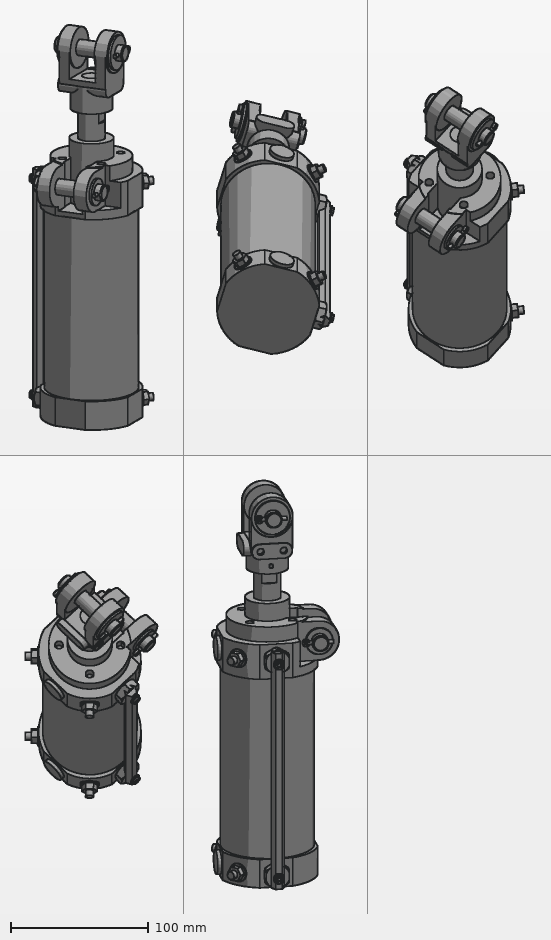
import cadquery as cq
import math

LOWER_COVER_TOP = 21.8
UPPER_COVER_BOTTOM = 160.2
UPPER_COVER_TOP = 186.7
RING_TOP = 198.2
HUB_TOP = 211.7
ROD_FLAT_BOTTOM = 225.0
KNUCKLE_BOTTOM = 234.0
OVERALL_HEIGHT = 294.5
LOWER_FITTING_Z = 10.0
UPPER_FITTING_Z = 174.5
FITTING_LEVELS = (LOWER_FITTING_Z, UPPER_FITTING_Z)

TUBE_DIAMETER = 69.0
COVER_DIAMETER = 74.8
COVER_ACROSS_FLATS = 70.7
COVER_FLAT = COVER_ACROSS_FLATS / 2
RING_DIAMETER = 60.0
HUB_DIAMETER = 32.7
TOP_HOLE_DIAMETER = 6.0
TOP_HOLE_OFFSET = 16.0
TOP_HOLE_DEPTH = 8.8
PORT_DIAMETER = 18.0
PORT_LENGTH = 3.0

VALVE_ANGLES = (45, 135)
VALVE_SEAT_DIAMETER = 13.8
VALVE_SEAT_RADIUS = 38.0
VALVE_NUT_ACROSS_CORNERS = 11.5
VALVE_NUT_RADIUS = 42.7
VALVE_STEM_DIAMETER = 6.0
VALVE_STEM_RADIUS = 47.0

FORK_INNER = 9.7
FORK_OUTER = 20.0
FORK_THICKNESS = FORK_OUTER - FORK_INNER

CLEVIS_PIN_Y = -34.8
CLEVIS_PIN_Z = 182.3
CLEVIS_ARM_RADIUS = 15.0
CLEVIS_ARM_BOTTOM = CLEVIS_PIN_Z - CLEVIS_ARM_RADIUS
CLEVIS_FACE_Y = -18.3
CLEVIS_SLOT_FLOOR = 164.0
CLEVIS_SLOT_WIDENING = 10.5
CLEVIS_SLOT_WIDENING_Y = -24.5

ROD_DIAMETER = 20.0
ROD_ACROSS_FLATS = 16.8
ROD_END_DIAMETER = 13.8

KNUCKLE_RADIUS = 15.3
KNUCKLE_PIN_Z = OVERALL_HEIGHT - KNUCKLE_RADIUS
KNUCKLE_BASE_DIAMETER = 31.0
KNUCKLE_ARM_INNER = 10.5
KNUCKLE_ARM_OUTER = 18.8
KNUCKLE_FLOOR = 259.0
KNUCKLE_BODY_BOTTOM = 254.5
BAR_HEIGHT = 11.5
BAR_Z = 253.0
CROSS_BAR_LENGTH = 30.0
CROSS_BAR_LEFT = -20.0
REAR_BAR_LENGTH = 28.5
REAR_BAR_BACK = 20.0
BAR_HOLE_DIAMETER = 5.0
BAR_HOLE_OFFSET = 8.5
BAR_HOLE_DEPTH = 3.0

PIN_DIAMETER = 12.0
PIN_LENGTH = 55.5
PIN_CHAMFER = 1.0
WASHER_OUTER = 21.8
KNUCKLE_WASHER_DIAMETER = 26.0
CLEVIS_WASHER_DIAMETER = 20.0
COTTER_X = 24.0
COTTER_DIAMETER = 3.0
COTTER_EYE_Y = 10.3
COTTER_EYE_DIAMETER = 5.3
COTTER_EYE_HOLE = 2.3
COTTER_EYE_THICKNESS = 2.5
COTTER_TAIL_Y = -10.0

ROLL_PIN_DIAMETER = 3.0
ROLL_PIN_Z = 240.3
ROLL_PIN_LEFT = -16.5

RAIL_ACROSS_CORNERS = 9.7
RAIL_X = -42.0
RAIL_OVERHANG = 8.2
RAIL_NUT_ACROSS_CORNERS = 20.0
RAIL_NUT_CHAMFER_DIAMETER = 18.0
RAIL_COLLAR_DIAMETER = 7.7
RAIL_COLLAR_THICKNESS = 1.2
RAIL_SCREW_DIAMETER = 6.0
RAIL_SCREW_TIP_X = -49.2
RAIL_SCREW_HOLE = 3.0
RAIL_SCREW_HOLE_DEPTH = 1.5


def disc(diameter, bottom, top):
    """Upright cylinder on the Z axis."""
    return cq.Workplane("XY", origin=(0, 0, bottom)).circle(diameter / 2).extrude(top - bottom)


def cross_cylinder(diameter, left, right, y, z):
    """Cylinder along X between two X positions."""
    return cq.Workplane("YZ", origin=(left, y, z)).circle(diameter / 2).extrude(right - left)


def block(left, right, front, back, bottom, top):
    """Box given by its six faces."""
    size = (right - left, back - front, top - bottom)
    return cq.Workplane("XY").box(*size, centered=False).translate((left, front, bottom))


def cover(bottom, top):
    """End cover: a disc with four flats."""
    flats = block(-COVER_FLAT, COVER_FLAT, -COVER_FLAT, COVER_FLAT, bottom, top)
    return disc(COVER_DIAMETER, bottom, top).intersect(flats)


def needle_valve(angle, z):
    """Seat, hexagon nut and stem, along a radius at the given angle."""
    direction = (math.cos(math.radians(angle)), math.sin(math.radians(angle)), 0)
    plane = cq.Plane(origin=(0, 0, z), xDir=(0, 0, 1), normal=direction)
    base = RING_DIAMETER / 2
    seat = cq.Workplane(plane).workplane(offset=base).circle(VALVE_SEAT_DIAMETER / 2)
    seat = seat.extrude(VALVE_SEAT_RADIUS - base)
    nut = cq.Workplane(plane).workplane(offset=base).transformed(rotate=(0, 0, 90))
    nut = nut.polygon(6, VALVE_NUT_ACROSS_CORNERS).extrude(VALVE_NUT_RADIUS - base)
    stem = cq.Workplane(plane).workplane(offset=base).circle(VALVE_STEM_DIAMETER / 2)
    stem = stem.extrude(VALVE_STEM_RADIUS - base)
    return seat.union(nut).union(stem)


def clevis_arm(inner_x):
    """One rounded ear of the housing fork, from its inner face towards +X."""
    ear = cross_cylinder(
        2 * CLEVIS_ARM_RADIUS, inner_x, inner_x + FORK_THICKNESS, CLEVIS_PIN_Y, CLEVIS_PIN_Z)
    root = block(
        inner_x, inner_x + FORK_THICKNESS, CLEVIS_PIN_Y, CLEVIS_FACE_Y,
        CLEVIS_ARM_BOTTOM, CLEVIS_PIN_Z + CLEVIS_ARM_RADIUS)
    return ear.union(root)


def make_housing():
    body = disc(TUBE_DIAMETER, 0, UPPER_COVER_TOP)
    body = body.union(cover(0, LOWER_COVER_TOP))
    body = body.union(cover(UPPER_COVER_BOTTOM, UPPER_COVER_TOP))
    body = body.union(disc(RING_DIAMETER, UPPER_COVER_TOP, RING_TOP))

    holes = (
        cq.Workplane("XY", origin=(0, 0, RING_TOP - TOP_HOLE_DEPTH))
        .rect(2 * TOP_HOLE_OFFSET, 2 * TOP_HOLE_OFFSET, forConstruction=True).vertices()
        .circle(TOP_HOLE_DIAMETER / 2).extrude(TOP_HOLE_DEPTH)
    )
    body = body.cut(holes)

    reach = COVER_DIAMETER / 2
    for left, right in ((-reach, -FORK_OUTER), (FORK_OUTER, reach)):
        body = body.cut(block(left, right, -reach, CLEVIS_FACE_Y, CLEVIS_ARM_BOTTOM, RING_TOP))
    for inner_x in (-FORK_OUTER, FORK_INNER):
        body = body.union(clevis_arm(inner_x))
    body = body.cut(block(-FORK_INNER, FORK_INNER, -reach, 0, CLEVIS_SLOT_FLOOR, RING_TOP))
    body = body.cut(block(
        -CLEVIS_SLOT_WIDENING, CLEVIS_SLOT_WIDENING, CLEVIS_SLOT_WIDENING_Y, 0,
        CLEVIS_SLOT_FLOOR, RING_TOP))
    body = body.union(disc(HUB_DIAMETER, UPPER_COVER_BOTTOM, HUB_TOP))

    for z in FITTING_LEVELS:
        port = cq.Workplane("XZ", origin=(0, 0, z)).circle(PORT_DIAMETER / 2)
        body = body.union(port.extrude(-(COVER_FLAT + PORT_LENGTH)))
        for angle in VALVE_ANGLES:
            body = body.union(needle_valve(angle, z))

    body = body.cut(disc(ROD_DIAMETER, UPPER_COVER_BOTTOM, HUB_TOP))
    return body.cut(
        cross_cylinder(PIN_DIAMETER, -FORK_OUTER, FORK_OUTER, CLEVIS_PIN_Y, CLEVIS_PIN_Z))


def make_rod():
    rod = disc(ROD_DIAMETER, UPPER_COVER_BOTTOM, KNUCKLE_BOTTOM)
    flat = ROD_ACROSS_FLATS / 2
    edge = ROD_DIAMETER / 2
    for left, right in ((-edge, -flat), (flat, edge)):
        rod = rod.cut(block(left, right, -edge, edge, ROD_FLAT_BOTTOM, KNUCKLE_BOTTOM))
    return rod.union(disc(ROD_END_DIAMETER, KNUCKLE_BOTTOM, KNUCKLE_FLOOR))


def make_knuckle():
    fork = block(
        -KNUCKLE_ARM_OUTER, KNUCKLE_ARM_OUTER, -KNUCKLE_RADIUS, KNUCKLE_RADIUS,
        KNUCKLE_BODY_BOTTOM, KNUCKLE_PIN_Z)
    gap = block(
        -KNUCKLE_ARM_INNER, KNUCKLE_ARM_INNER, -KNUCKLE_RADIUS, KNUCKLE_RADIUS,
        KNUCKLE_FLOOR, KNUCKLE_PIN_Z)
    fork = fork.cut(gap)
    for inner_x in (-FORK_OUTER, FORK_INNER):
        fork = fork.union(cross_cylinder(
            2 * KNUCKLE_RADIUS, inner_x, inner_x + FORK_THICKNESS, 0, KNUCKLE_PIN_Z))

    cross_bar = cq.Workplane("YZ", origin=(CROSS_BAR_LEFT, 0, BAR_Z))
    cross_bar = cross_bar.slot2D(CROSS_BAR_LENGTH, BAR_HEIGHT)
    cross_bar = cross_bar.extrude(KNUCKLE_ARM_OUTER - CROSS_BAR_LEFT)
    rear_bar = cq.Workplane("XZ", origin=(0, 0, BAR_Z)).slot2D(REAR_BAR_LENGTH, BAR_HEIGHT)
    rear_bar = rear_bar.extrude(-REAR_BAR_BACK)
    base = disc(KNUCKLE_BASE_DIAMETER, KNUCKLE_BOTTOM, KNUCKLE_BODY_BOTTOM)
    knuckle = fork.union(base).union(cross_bar).union(rear_bar)

    knuckle = knuckle.cut(disc(ROD_END_DIAMETER, KNUCKLE_BOTTOM, KNUCKLE_FLOOR))
    knuckle = knuckle.cut(cross_cylinder(PIN_DIAMETER, -FORK_OUTER, FORK_OUTER, 0, KNUCKLE_PIN_Z))
    for y in (-BAR_HOLE_OFFSET, BAR_HOLE_OFFSET):
        knuckle = knuckle.cut(cross_cylinder(
            BAR_HOLE_DIAMETER, CROSS_BAR_LEFT, CROSS_BAR_LEFT + BAR_HOLE_DEPTH, y, BAR_Z))
    return knuckle.cut(make_roll_pin())


def make_fork_pin(washer_diameter, y, z):
    """Chamfered pin along X with a washer and a cotter at each end."""
    end = PIN_LENGTH / 2
    pin = cross_cylinder(PIN_DIAMETER, -end, end, 0, 0).faces("<X or >X").chamfer(PIN_CHAMFER)
    for left in (-WASHER_OUTER, FORK_OUTER):
        pin = pin.union(cross_cylinder(washer_diameter, left, left + WASHER_OUTER - FORK_OUTER, 0, 0))
    half_eye = COTTER_EYE_THICKNESS / 2
    for x in (-COTTER_X, COTTER_X):
        shank = cq.Workplane("XZ", origin=(x, COTTER_TAIL_Y, 0)).circle(COTTER_DIAMETER / 2)
        pin = pin.union(shank.extrude(COTTER_TAIL_Y - COTTER_EYE_Y))
        left = x - half_eye
        right = x + half_eye
        pin = pin.union(cross_cylinder(COTTER_EYE_DIAMETER, left, right, COTTER_EYE_Y, 0))
        pin = pin.cut(cross_cylinder(COTTER_EYE_HOLE, left, right, COTTER_EYE_Y, 0))
    return pin.translate((0, y, z))


def make_roll_pin():
    return cross_cylinder(
        ROLL_PIN_DIAMETER, ROLL_PIN_LEFT, -ROD_END_DIAMETER / 2, 0, ROLL_PIN_Z)


def make_switch_rail():
    bottom = LOWER_FITTING_Z - RAIL_OVERHANG
    length = UPPER_FITTING_Z + RAIL_OVERHANG - bottom
    rail = cq.Workplane("XY", origin=(RAIL_X, 0, bottom)).transformed(rotate=(0, 0, 90))
    rail = rail.polygon(6, RAIL_ACROSS_CORNERS).extrude(length)

    across_flats = RAIL_ACROSS_CORNERS * math.cos(math.radians(30))
    face_x = RAIL_X - across_flats / 2
    nut_length = -COVER_FLAT - RAIL_X
    for z in FITTING_LEVELS:
        nut = cq.Workplane("YZ", origin=(RAIL_X, 0, z)).transformed(rotate=(0, 0, 90))
        nut = nut.polygon(6, RAIL_NUT_ACROSS_CORNERS).extrude(nut_length)
        chamfer = (RAIL_NUT_ACROSS_CORNERS - RAIL_NUT_CHAMFER_DIAMETER) / 2
        envelope = cross_cylinder(RAIL_NUT_ACROSS_CORNERS, RAIL_X, -COVER_FLAT, 0, z)
        rail = rail.union(nut.intersect(envelope.faces("<X or >X").chamfer(chamfer)))

        rail = rail.union(cross_cylinder(
            RAIL_COLLAR_DIAMETER, face_x - RAIL_COLLAR_THICKNESS, face_x, 0, z))
        rail = rail.union(cross_cylinder(RAIL_SCREW_DIAMETER, RAIL_SCREW_TIP_X, face_x, 0, z))
        rail = rail.cut(cross_cylinder(
            RAIL_SCREW_HOLE, RAIL_SCREW_TIP_X, RAIL_SCREW_TIP_X + RAIL_SCREW_HOLE_DEPTH, 0, z))
    return rail


housing = make_housing()
rod = make_rod()
knuckle = make_knuckle()
knuckle_pin = make_fork_pin(KNUCKLE_WASHER_DIAMETER, 0, KNUCKLE_PIN_Z)
clevis_pin = make_fork_pin(CLEVIS_WASHER_DIAMETER, CLEVIS_PIN_Y, CLEVIS_PIN_Z)
roll_pin = make_roll_pin()
switch_rail = make_switch_rail()

result = cq.Compound.makeCompound([
    housing.val(),
    rod.val(),
    knuckle.val(),
    knuckle_pin.val(),
    clevis_pin.val(),
    roll_pin.val(),
    switch_rail.val(),
])